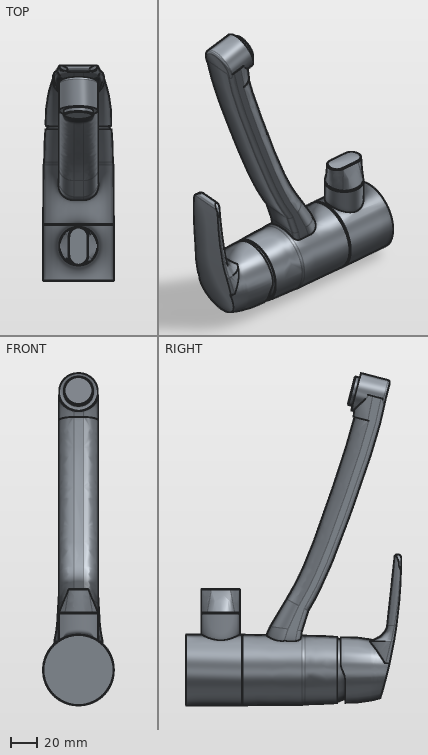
import cadquery as cq
import math


overall_height = 251.2

cos_45 = math.sqrt(0.5)

housing_radius = 27.0
housing_length = 42.2
front_chamfer = 0.5
joint_width = 1.0
joint_depth = 0.8

body_end_radius = 53.0 / 2
body_end_y = 87.7
sleeve_start_radius = 52.3 / 2
sleeve_start_y = 90.0
sleeve_middle_radius = 26.0
sleeve_end_radius = 25.0
sleeve_end_y = 114.5

neck_front_radius = 24.0
neck_back_radius = 21.5
neck_end_y = 121.9

knob_y = 26.5
knob_diameter = 29.5
knob_joint_z = 42.5
knob_top_z = 61.5
knob_grip_width = 15.0
knob_top_chamfer = 0.8

head_tilt = 14.5
head_diameter = 29.5
head_length = 23.0
head_face_y = 128.6
head_back_fillet = 2.0
head_face_rise = head_diameter / 2 * math.cos(math.radians(head_tilt))
head_face_z = overall_height - housing_radius - head_face_rise
aerator_diameter = 22.4
aerator_length = 3.8
aerator_chamfer = 0.8

arm_top_depth = 20.4
collar_length = 18.8
spout_width = 30.2
spout_flat_width = 7.0
spout_back_corner = 3.8
spout_widest_share = 0.45

handle_front_radius = 24.9
handle_top_front_y = 117.0
handle_step_top_z = 5.0
handle_step_bottom_z = -7.5
handle_bottom_front_y = 120.3
handle_bottom_z = -22.0
handle_back_y = 146.7
handle_bottom_slope = 2.3
lever_back_y = 162.8
lever_tip_z = 87.5
lever_flat_width = 7.0
tip_radius = 2.8
tip_front_y = lever_back_y - 2 * tip_radius
tip_corner_radius = 6.3
tip_half_width = 13.8
lever_side_slope = 3.8
tip_front_slope = 15.0

envelope_half = 30.2
envelope_depth = 176.0


def make_body():
    """Revolve the housing, body, sleeve and neck around the Y axis."""
    groove_radius = housing_radius - joint_depth
    joint_end_y = housing_length + joint_width
    sleeve_middle_y = (sleeve_start_y + sleeve_end_y) / 2
    profile = (
        cq.Workplane("XY")
        .lineTo(housing_radius - front_chamfer, 0)
        .lineTo(housing_radius, front_chamfer)
        .lineTo(housing_radius, housing_length)
        .lineTo(groove_radius, housing_length)
        .lineTo(groove_radius, joint_end_y)
        .lineTo(housing_radius, joint_end_y)
        .lineTo(body_end_radius, body_end_y)
        .lineTo(sleeve_start_radius, sleeve_start_y)
        .threePointArc((sleeve_middle_radius, sleeve_middle_y), (sleeve_end_radius, sleeve_end_y))
        .lineTo(neck_front_radius, sleeve_end_y)
        .lineTo(neck_back_radius, neck_end_y)
        .lineTo(0, neck_end_y)
        .close()
    )
    return profile.revolve(360, (0, 0, 0), (0, 1, 0))


def knob_outline(plane_z, half_width, half_length, corner_x, corner_y):
    """Four-sided outline with arc ends; its sides bulge to half_width or stay straight."""

    def add_side(outline, direction):
        end = (direction * corner_x, direction * corner_y)
        if half_width > corner_x:
            return outline.threePointArc((direction * half_width, 0), end)
        return outline.lineTo(*end)

    outline = cq.Workplane("XY", origin=(0, knob_y, plane_z)).moveTo(corner_x, -corner_y)
    outline = add_side(outline, 1)
    outline = outline.threePointArc((0, half_length), (-corner_x, corner_y))
    outline = add_side(outline, -1)
    outline = outline.threePointArc((0, -half_length), (corner_x, -corner_y))
    return outline.close().val()


def make_knob():
    """Round stem, narrow joint and a grip that changes from a circle to a slot shape."""
    radius = knob_diameter / 2
    grip_start_z = knob_joint_z + joint_width
    stem = cq.Workplane("XY", origin=(0, knob_y, 0)).circle(radius).extrude(knob_joint_z)
    joint = cq.Workplane("XY", origin=(0, knob_y, 0)).circle(radius - joint_depth).extrude(grip_start_z)
    diagonal = radius * cos_45
    shoulder_z = knob_top_z - knob_top_chamfer
    shoulder_half = knob_grip_width / 2
    top_half = shoulder_half - knob_top_chamfer
    straight_end = radius - shoulder_half
    base = knob_outline(grip_start_z, radius, radius, diagonal, diagonal)
    shoulder = knob_outline(shoulder_z, shoulder_half, radius, shoulder_half, straight_end)
    top = knob_outline(knob_top_z, top_half, radius - knob_top_chamfer, top_half, straight_end)
    grip = cq.Workplane(cq.Solid.makeLoft([base, shoulder, top], True))
    return stem.union(joint).union(grip)


def spout_section(back_y, back_z, tilt, depth):
    """Closed section whose back face centre is at (back_y, back_z), running forward by depth."""
    half_width = spout_width / 2
    half_flat = spout_flat_width / 2
    corner = spout_back_corner
    corner_middle = corner * (1 - cos_45)
    widest = depth * spout_widest_share
    shoulder_x = half_flat + (half_width - half_flat) * cos_45
    shoulder_depth = widest + (depth - widest) * cos_45
    forward = (0, -math.cos(math.radians(tilt)), math.sin(math.radians(tilt)))
    normal = (0, forward[2], -forward[1])
    plane = cq.Plane(origin=(0, back_y, back_z), xDir=(1, 0, 0), normal=normal)
    return (
        cq.Workplane(plane)
        .moveTo(corner - half_width, 0)
        .lineTo(half_width - corner, 0)
        .threePointArc((half_width - corner_middle, -corner_middle), (half_width, -corner))
        .lineTo(half_width, -widest)
        .threePointArc((shoulder_x, -shoulder_depth), (half_flat, -depth))
        .lineTo(-half_flat, -depth)
        .threePointArc((-shoulder_x, -shoulder_depth), (-half_width, -widest))
        .lineTo(-half_width, -corner)
        .threePointArc((corner_middle - half_width, -corner_middle), (corner - half_width, 0))
        .close()
        .val()
    )


def loft_spout(places, ruled=False):
    """Loft a stretch of the spout through the given sections."""
    return cq.Workplane(cq.Solid.makeLoft([spout_section(*place) for place in places], ruled))


def make_spout():
    """Loft the curved arm, blend its foot into the body and add the head."""
    tilt = math.radians(head_tilt)
    arm_top_y = head_face_y + head_length * math.cos(tilt)
    arm_top_z = head_face_z - head_length * math.sin(tilt)
    arm = [
        (arm_top_y, arm_top_z, head_tilt, arm_top_depth),
        (139.5, 161.0, 16.5, 19.8),
        (126.5, 123.0, 20.5, 19.3),
        (112.5, 86.2, 24.5, 18.8),
        (92.7, 44.7, 28.5, 18.8),
    ]
    collar = [
        (arm_top_y, arm_top_z, head_tilt, head_length),
        (
            arm_top_y - collar_length * math.sin(tilt),
            arm_top_z - collar_length * math.cos(tilt),
            head_tilt,
            arm_top_depth,
        ),
    ]
    foot = [arm[-1], (88.0, 29.6, 8, 24.4), (85.2, 15.0, 0, 29.5)]
    spout = loft_spout(arm)
    spout = spout.union(loft_spout(collar, ruled=True))
    spout = spout.union(loft_spout(foot, ruled=True))

    face = cq.Plane(
        origin=(0, head_face_y, head_face_z),
        xDir=(1, 0, 0),
        normal=(0, -math.cos(tilt), math.sin(tilt)),
    )
    head = cq.Workplane(face).circle(head_diameter / 2).extrude(-head_length)
    head = head.faces(">Y").edges().fillet(head_back_fillet)
    aerator = cq.Workplane(face).circle(aerator_diameter / 2).extrude(aerator_length)
    aerator = aerator.faces("<Y").edges().chamfer(aerator_chamfer)
    return spout.union(head).union(aerator)


def lever_section(height, half_width, side_y, front_y):
    """Level section with straight sides and rounded shoulders that lead to a narrow front flat."""
    half_flat = lever_flat_width / 2
    shoulder_x = half_flat + (half_width - half_flat) * cos_45
    shoulder_y = side_y + (front_y - side_y) * cos_45
    end_y = lever_back_y + 2.5
    return (
        cq.Workplane("XY", origin=(0, 0, height))
        .moveTo(half_width, end_y)
        .lineTo(half_width, side_y)
        .spline(
            [(shoulder_x, shoulder_y), (half_flat, front_y)],
            tangents=[(0, -1), (-1, 0)],
            includeCurrent=True,
        )
        .lineTo(-half_flat, front_y)
        .spline(
            [(-shoulder_x, shoulder_y), (-half_width, side_y)],
            tangents=[(-1, 0), (0, 1)],
            includeCurrent=True,
        )
        .lineTo(-half_width, end_y)
        .close()
        .val()
    )


def loft_lever(places, ruled=False):
    """Loft a stretch of the lever through the given sections."""
    return cq.Workplane(cq.Solid.makeLoft([lever_section(*place) for place in places], ruled))


def make_round_handle():
    """Revolve the handle body, which rounds off toward the back."""
    outline = (
        cq.Workplane("XY")
        .moveTo(0, handle_top_front_y)
        .lineTo(handle_front_radius, handle_top_front_y)
        .spline([(23.9, 135.7), (19.3, 153.0), (14.5, lever_back_y), (0, 169.5)], includeCurrent=True)
        .close()
    )
    return outline.revolve(360, (0, 0, 0), (0, 1, 0))


def make_lever():
    """Thin blade, concave blend at its foot and a root that sinks into the handle body."""
    blade_places = [
        (34.0, 16.3, 157.5, 152.0),
        (60.3, 14.8, 160.8, 155.0),
        (lever_tip_z, tip_half_width, 162.0, 157.8),
    ]
    blend_places = [
        (21.5, 18.3, 154.8, 138.2),
        (23.9, 17.8, 155.5, 144.2),
        (28.1, 17.0, 156.3, 149.7),
        blade_places[0],
    ]
    root_places = [
        (5.0, 19.5, 150.8, 134.5),
        blend_places[0],
    ]
    lever = loft_lever(blade_places).union(loft_lever(blend_places))
    return lever.union(loft_lever(root_places, ruled=True))


def make_side_shape():
    """Handle outline along X: stepped front edge, curved sloping back and rounded lever tip."""
    return (
        cq.Workplane("YZ")
        .moveTo(handle_top_front_y, envelope_half)
        .lineTo(handle_top_front_y, handle_step_top_z)
        .spline(
            [(handle_bottom_front_y, handle_step_bottom_z)],
            tangents=[(0, -1), (0, -1)],
            includeCurrent=True,
        )
        .lineTo(handle_bottom_front_y, -envelope_half)
        .lineTo(handle_back_y - handle_bottom_slope, -envelope_half)
        .lineTo(handle_back_y, handle_bottom_z)
        .threePointArc((159.0, 32.0), (lever_back_y, lever_tip_z - tip_radius))
        .threePointArc((lever_back_y - tip_radius, lever_tip_z), (tip_front_y, lever_tip_z - tip_radius))
        .lineTo(tip_front_y - tip_front_slope, envelope_half)
        .close()
        .extrude(envelope_half, both=True)
    )


def make_front_shape():
    """Handle outline along Y: leaves the body whole and rounds the corners of the lever tip."""
    corner_z = lever_tip_z - tip_corner_radius
    arc_inset = tip_corner_radius * (1 - cos_45)
    corner_middle = (tip_half_width - arc_inset, lever_tip_z - arc_inset)
    half_front = (
        cq.Workplane("XZ")
        .moveTo(0, -envelope_half)
        .lineTo(envelope_half, -envelope_half)
        .lineTo(envelope_half, envelope_half)
        .lineTo(tip_half_width + lever_side_slope, envelope_half)
        .lineTo(tip_half_width, corner_z)
        .threePointArc(corner_middle, (tip_half_width - tip_corner_radius, lever_tip_z))
        .lineTo(0, lever_tip_z)
        .close()
        .extrude(-envelope_depth)
    )
    return half_front.union(half_front.mirror("YZ"))


def make_handle():
    """Join the round body and lever, then trim both to the side and front outlines."""
    handle = make_round_handle().union(make_lever())
    return handle.intersect(make_side_shape()).intersect(make_front_shape())


result = make_body().union(make_knob()).union(make_spout()).union(make_handle())